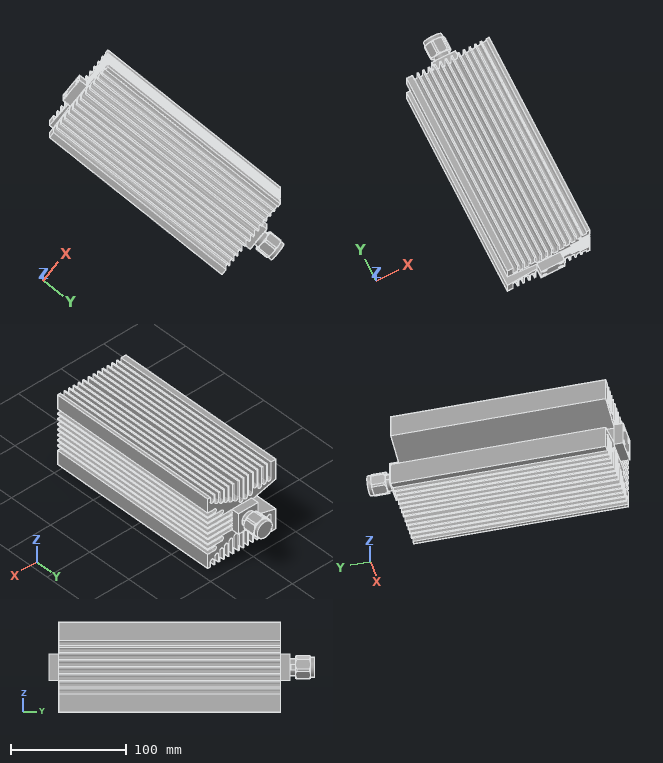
import cadquery as cq
import math

SINK_WIDTH = 80.0
SINK_HEIGHT = 78.0
SINK_FRONT = -106.5
SINK_REAR = 85.3
SINK_LENGTH = SINK_REAR - SINK_FRONT
LEFT = -SINK_WIDTH / 2
RIGHT = SINK_WIDTH / 2
TOP = SINK_HEIGHT / 2

CHANNEL_MOUTH_HALF = 16.7
CHANNEL_FLOOR_HALF = 8.7
CHANNEL_FLOOR_X = -10.0

FIN_THICKNESS = 1.4
LEFT_WALL = 5.7
SLOT_WIDTH = 4.1
WIDE_SLOT_WIDTH = 5.0
LEFT_SLOT_FLOORS = [18.8, 18.4, 17.0, 20.5, 15.0, 14.2, 13.5]
WIDE_SLOT_FLOOR = 18.4
RIGHT_SLOT_FLOORS = [20.5, 23.2, 25.2, 28.0, 31.5]
UPRIGHT_SLOTS = [
    *[(SLOT_WIDTH, floor) for floor in LEFT_SLOT_FLOORS],
    (WIDE_SLOT_WIDTH, WIDE_SLOT_FLOOR),
    *[(SLOT_WIDTH, floor) for floor in RIGHT_SLOT_FLOORS],
]

LEVEL_SLOT_WIDTH = 4.5
LEVEL_SLOT_PITCH = LEVEL_SLOT_WIDTH + FIN_THICKNESS
LEVEL_SLOT_FLOORS = [10.0, 10.0, 21.5, 29.8]

CAP_SIZE = 23.0
CAP_THICKNESS = 8.3
CAP_FRONT = SINK_FRONT - CAP_THICKNESS
CAP_REAR = SINK_REAR + CAP_THICKNESS

SCREW_SPACING = 16.0
SCREW_HEAD_DIAMETER = 4.4
SCREW_HEAD_DEPTH = 1.1
SCREW_HOLE_DIAMETER = 3.0
SCREW_HOLE_DEPTH = 4.5

NECK_DIAMETER = 15.0
NECK_COLLAR = 0.7
FLAT_SPACING = 14.0

NUT_FRONT = 98.5
HEX_REAR = 111.0
NUT_REAR = 114.7
HEX_ACROSS_FLATS = 18.5
HEX_CORNER_DIAMETER = 20.5
HEX_LENGTH = HEX_REAR - NUT_FRONT
HEX_TURN = 15.0
HEX_END_CHAMFER = 0.7
HEX_FRONT_CHAMFER_LENGTH = 1.1
SLEEVE_DIAMETER = 17.7


def y_plane(y):
    """Plane across the Y axis, with local x along X, local y along Z and its normal along -Y."""
    return cq.Workplane("XZ", origin=(0, y, 0))


def cylinder(diameter, y_start, y_end):
    return y_plane(y_end).circle(diameter / 2).extrude(y_end - y_start)


def round_slot(width, length, floor):
    """Cutter for a slot along the local x axis: a round end at x = floor, open at x = length."""
    half = width / 2
    return (
        y_plane(SINK_REAR)
        .moveTo(length, -half)
        .lineTo(floor + half, -half)
        .threePointArc((floor, 0), (floor + half, half))
        .lineTo(length, half)
        .close()
        .extrude(SINK_LENGTH)
    )


def make_sink():
    sink = y_plane(SINK_REAR).rect(SINK_WIDTH, SINK_HEIGHT).extrude(SINK_LENGTH)
    channel = (
        y_plane(SINK_REAR)
        .polyline([
            (LEFT, -CHANNEL_MOUTH_HALF),
            (CHANNEL_FLOOR_X, -CHANNEL_FLOOR_HALF),
            (CHANNEL_FLOOR_X, CHANNEL_FLOOR_HALF),
            (LEFT, CHANNEL_MOUTH_HALF),
        ])
        .close()
        .extrude(SINK_LENGTH)
    )
    sink = sink.cut(channel)
    slot_left = LEFT + LEFT_WALL
    for width, floor in UPRIGHT_SLOTS:
        x = slot_left + width / 2
        slot = round_slot(width, TOP, floor)
        for turn in (-90, 90):
            sink = sink.cut(slot.rotate((0, 0, 0), (0, 1, 0), turn).translate((x, 0, 0)))
        slot_left += width + FIN_THICKNESS
    for index, floor in enumerate(LEVEL_SLOT_FLOORS):
        z = (index + 0.5) * LEVEL_SLOT_PITCH
        slot = round_slot(LEVEL_SLOT_WIDTH, RIGHT, floor)
        for side in (-1, 1):
            sink = sink.cut(slot.translate((0, 0, side * z)))
    return sink


def make_front_cap():
    cap = y_plane(SINK_FRONT).rect(CAP_SIZE, CAP_SIZE).extrude(CAP_THICKNESS)
    return (
        cap
        .copyWorkplane(y_plane(CAP_FRONT))
        .rect(SCREW_SPACING, SCREW_SPACING, forConstruction=True)
        .vertices()
        .cboreHole(SCREW_HOLE_DIAMETER, SCREW_HEAD_DIAMETER, SCREW_HEAD_DEPTH, SCREW_HOLE_DEPTH)
    )


def make_rear_cap():
    return y_plane(CAP_REAR).rect(CAP_SIZE, CAP_SIZE).extrude(CAP_THICKNESS)


def make_neck():
    flats_start = CAP_REAR + NECK_COLLAR
    collar = cylinder(NECK_DIAMETER, CAP_REAR, flats_start)
    flat_sides = y_plane(NUT_FRONT).rect(FLAT_SPACING, NECK_DIAMETER).extrude(NUT_FRONT - flats_start)
    return collar.union(cylinder(NECK_DIAMETER, flats_start, NUT_FRONT).intersect(flat_sides))


def make_housing():
    return make_sink().union(make_front_cap()).union(make_rear_cap()).union(make_neck())


def make_nut():
    hexagon = (
        y_plane(HEX_REAR)
        .polygon(6, HEX_ACROSS_FLATS / math.cos(math.pi / 6))
        .extrude(HEX_LENGTH)
        .rotate((0, 0, 0), (0, 1, 0), HEX_TURN)
    )
    corner_radius = HEX_CORNER_DIAMETER / 2
    end_radius = corner_radius - HEX_END_CHAMFER
    rounding = (
        cq.Workplane("XY")
        .polyline([
            (0, NUT_FRONT),
            (end_radius, NUT_FRONT),
            (corner_radius, NUT_FRONT + HEX_FRONT_CHAMFER_LENGTH),
            (corner_radius, HEX_REAR - HEX_END_CHAMFER),
            (end_radius, HEX_REAR),
            (0, HEX_REAR),
        ])
        .close()
        .revolve(360, (0, 0, 0), (0, 1, 0))
    )
    return hexagon.intersect(rounding).union(cylinder(SLEEVE_DIAMETER, HEX_REAR, NUT_REAR))


housing = make_housing()
coupling_nut = make_nut()

result = cq.Compound.makeCompound([housing.val(), coupling_nut.val()])